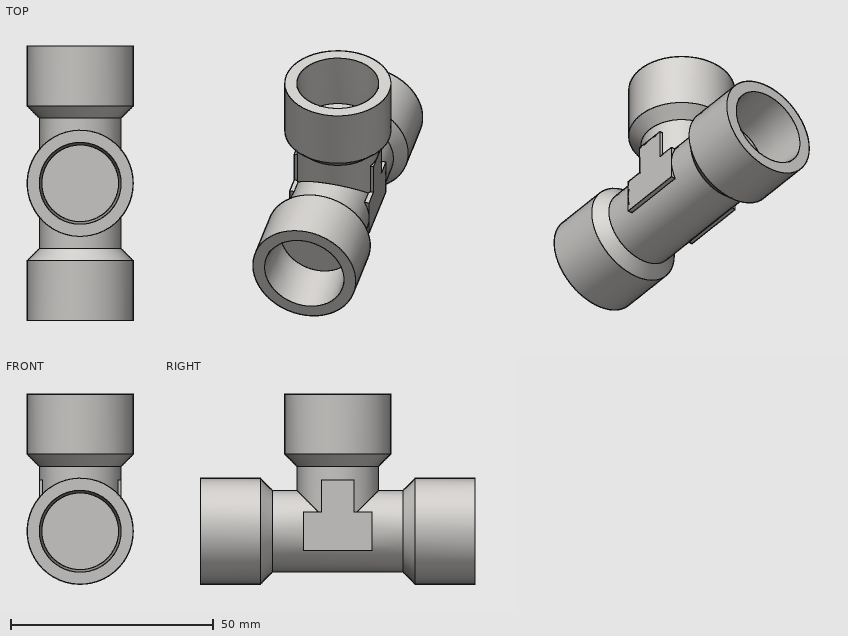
import cadquery as cq

run_length = 67.8
run_reach = run_length / 2
branch_reach = 33.8
socket_diameter = 26.2
neck_diameter = 20.2
socket_length = 14.8
shoulder_length = (socket_diameter - neck_diameter) / 2

bore_mouth_diameter = 20.2
bore_floor_diameter = 18.92
bore_depth = 13.7

pad_bar_width = 17.0
pad_bar_bottom = -4.7
pad_bar_top = 4.7
pad_stem_width = 8.0
pad_top = 12.7
pad_span = neck_diameter


def make_arm(reach):
    """Solid arm along +Z up to the mouth at reach: neck, conical shoulder and socket."""
    neck_radius = neck_diameter / 2
    socket_radius = socket_diameter / 2
    socket_start = reach - socket_length
    shoulder_start = socket_start - shoulder_length
    return (
        cq.Workplane("XZ")
        .moveTo(0, 0)
        .lineTo(neck_radius, 0)
        .lineTo(neck_radius, shoulder_start)
        .lineTo(socket_radius, socket_start)
        .lineTo(socket_radius, reach)
        .lineTo(0, reach)
        .close()
        .revolve(360, (0, 0, 0), (0, 1, 0))
    )


def make_bore(reach):
    """Tapered blind bore along +Z, widest at the mouth."""
    floor_height = reach - bore_depth
    return (
        cq.Workplane("XZ")
        .moveTo(0, floor_height)
        .lineTo(bore_floor_diameter / 2, floor_height)
        .lineTo(bore_mouth_diameter / 2, reach)
        .lineTo(0, reach)
        .close()
        .revolve(360, (0, 0, 0), (0, 1, 0))
    )


def make_pads():
    """T-shaped block through the body; its two X faces form the side pads."""
    bar_half = pad_bar_width / 2
    stem_half = pad_stem_width / 2
    return (
        cq.Workplane("YZ")
        .moveTo(-bar_half, pad_bar_bottom)
        .lineTo(bar_half, pad_bar_bottom)
        .lineTo(bar_half, pad_bar_top)
        .lineTo(stem_half, pad_bar_top)
        .lineTo(stem_half, pad_top)
        .lineTo(-stem_half, pad_top)
        .lineTo(-stem_half, pad_bar_top)
        .lineTo(-bar_half, pad_bar_top)
        .close()
        .extrude(pad_span / 2, both=True)
    )


def on_every_arm(make_shape):
    """Union of a shape made along +Z for the branch and turned to -Y and +Y for the run."""
    axis_start = (0, 0, 0)
    axis_end = (1, 0, 0)
    combined = make_shape(branch_reach)
    for angle in (90, -90):
        combined = combined.union(make_shape(run_reach).rotate(axis_start, axis_end, angle))
    return combined


body = on_every_arm(make_arm).union(make_pads())
result = body.cut(on_every_arm(make_bore))